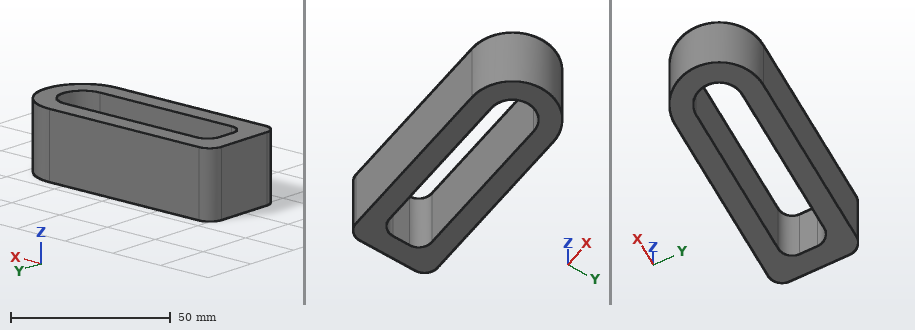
import cadquery as cq

length = 83.2
width = 31.2
height = 24.0
wall = 7.5
corner_radius = 5.0


def rounded_end_prism(prism_length, prism_width):
    """Upright prism centred on the origin: full round at +X, rounded corners at -X."""
    end_radius = prism_width / 2
    x_back = -prism_length / 2
    x_front = prism_length / 2
    x_arc = x_front - end_radius
    return (
        cq.Workplane("XY")
        .moveTo(x_back, -end_radius)
        .lineTo(x_arc, -end_radius)
        .threePointArc((x_front, 0), (x_arc, end_radius))
        .lineTo(x_back, end_radius)
        .close()
        .extrude(height)
        .edges("|Z and <X")
        .fillet(corner_radius)
    )


body = rounded_end_prism(length, width)
opening = rounded_end_prism(length - 2 * wall, width - 2 * wall)

result = body.cut(opening)